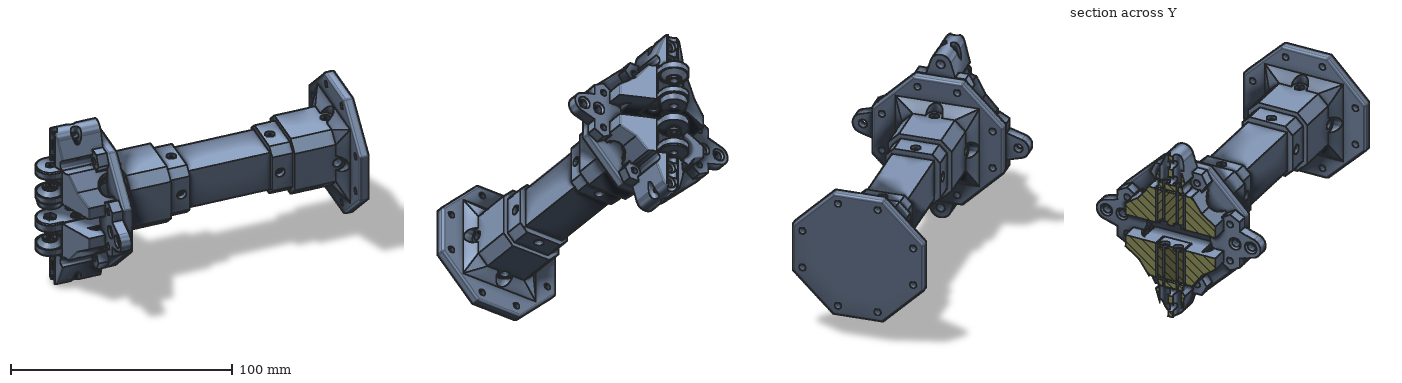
import cadquery as cq
import math


column_length = 120.0
tube_half = 10.0

flange_half = 31.3
flange_flat_half = 11.8
flange_thickness = 5.0
flange_rounding = 1.0

taper_end = 10.0
taper_base_half = 20.0
socket_half = 15.1
socket_corner_cut = 5.1
socket_end = 30.0
collar_half = 12.9
collar_corner_cut = 3.7
collar_end = 40.0

screw_diameter = 4.5
screw_seat_diameter = 7.8
flange_screw_y = 9.1
collar_screw_y = 36.0

bolt_near = 9.5
bolt_far = 26.3
bolt_diameter = 3.1

plate_thickness = 5.1
boss_tip_near = 14.5
boss_foot_far = 22.6
boss_foot_near = 12.0
wing_notch = 16.2
wing_notch_near = 11.2
wing_notch_inner = (9.6, 25.5)
bolt_head_diameter = 6.6
channel_half = 5.2
opening_half = 16.3

ridge_y = -21.7
ridge_half = 3.1
wing_edge_y = -13.2
wing_half = bolt_far - bolt_head_diameter / 2
rim_rounding = 0.6
wing_back_stock = 15.0

ear_tip = 41.97
ear_tip_radius = 5.0
ear_taper = math.radians(17)
ear_hole_far = 37.0
ear_hole_near = 28.9
ear_hole_diameter = 4.0
ear_sink_diameter = 6.0
groove_radius = 2.2

slot_half = 7.3
slot_end = 23.6
slot_floor_y = -6.0

pin_x = 3.5
pin_y = -11.7
pin_diameter = 2.5
pin_seat_diameter = 4.8
pin_seat_end = 27.0
pin_recess_diameter = 4.5
pin_recess_depth = 1.5

passage_diameter = 7.8
passage_chamfer = 0.7
passage_sink_diameter = 11.4
passage_sink_depth = 1.0
passage_inner = cq.Vector(13.3, -5.7, channel_half)
passage_outer = cq.Vector(wing_notch, 0, wing_notch)

knuckle_radius = 6.7
knuckle_y = knuckle_radius - 29.6
knuckle_chamfer = 0.6
upper_bore_diameter = 4.0
lower_bore_diameter = 3.5
cone_base_radius = 6.1
cone_end_radius = 3.5
cone_height = 2.0
cone_tip_radius = 3.0
cone_tip_height = 3.0
web_radius = 7.3
outer_knuckle_start = 19.2
insert_end = 22.9
upper_start = 5.5
upper_knuckle_end = 9.0
upper_boss_start = 2.4
upper_boss_base_radius = 6.5
upper_boss_end_radius = 5.7
lower_start = channel_half
lower_knuckle_end = 9.5
nut_width = 5.2
nut_depth = 2.2
lower_neck_end = 10.9
lower_neck_radius = 2.1
lower_collar_end = 12.1

signs = (-1, 1)
pin_places = [(sx * pin_x, pin_y) for sx in signs]
bolt_places = [
    (sx * a, sz * b)
    for a, b in ((bolt_near, bolt_far), (bolt_far, bolt_near))
    for sx in signs
    for sz in signs
]


def facing_front(y):
    """Sketch plane at the given y; extruding goes toward -Y."""
    return cq.Workplane("XZ", origin=(0, y, 0))


def facing_back(y):
    """Sketch plane at the given y; extruding goes toward +Y, and local y is -Z."""
    return cq.Workplane(cq.Plane(origin=(0, y, 0), xDir=(1, 0, 0), normal=(0, 1, 0)))


def frustum(half_start, half_end, y_start, y_end):
    return (
        facing_back(y_start)
        .rect(2 * half_start, 2 * half_start)
        .workplane(offset=y_end - y_start)
        .rect(2 * half_end, 2 * half_end)
        .loft(combine=True)
    )


def cut_corner_bar(half, corner_cut, y_start, y_end):
    bar = facing_back(y_start).rect(2 * half, 2 * half).extrude(y_end - y_start)
    return bar.edges("|Y").chamfer(corner_cut)


def four_fold(shape):
    """Copies turned about Y by quarter turns."""
    return [shape.rotate((0, 0, 0), (0, 1, 0), 90 * i) for i in range(4)]


def make_tube():
    length = column_length - 2 * flange_thickness
    return facing_back(flange_thickness).rect(2 * tube_half, 2 * tube_half).extrude(length)


def make_socket():
    flange = cut_corner_bar(flange_half, flange_half - flange_flat_half, 0, flange_thickness)
    flange = flange.edges().fillet(flange_rounding)

    corner_start = taper_base_half * math.sqrt(2)
    corner_end = (2 * socket_half - socket_corner_cut) / math.sqrt(2)
    sides = frustum(taper_base_half, socket_half, flange_thickness, taper_end)
    corners = frustum(corner_start, corner_end, flange_thickness, taper_end)
    taper = sides.intersect(corners.rotate((0, 0, 0), (0, 1, 0), 45))

    body = flange.union(taper)
    body = body.union(cut_corner_bar(socket_half, socket_corner_cut, taper_end, socket_end))
    body = body.union(cut_corner_bar(collar_half, collar_corner_cut, socket_end, collar_end))

    pocket_length = collar_end - flange_thickness
    body = body.cut(facing_back(flange_thickness).rect(2 * tube_half, 2 * tube_half).extrude(pocket_length))

    screws = (
        cq.Workplane("XY", origin=(0, 0, tube_half))
        .pushPoints([(0, flange_screw_y), (0, collar_screw_y)])
        .circle(screw_diameter / 2)
        .extrude(taper_base_half)
    )
    seat = (
        cq.Workplane("XY", origin=(0, flange_screw_y, socket_half))
        .circle(screw_seat_diameter / 2)
        .extrude(taper_base_half)
    )
    for cutter in four_fold(screws.union(seat)):
        body = body.cut(cutter)

    bolts = facing_back(0).pushPoints(bolt_places).circle(bolt_diameter / 2)
    return body.cut(bolts.extrude(flange_thickness))


def make_ear(depth):
    """Ear along +X: tapered sides that run tangent into the round tip."""
    tip_center = ear_tip - ear_tip_radius
    touch_x = tip_center + ear_tip_radius * math.sin(ear_taper)
    touch_z = ear_tip_radius * math.cos(ear_taper)
    root_x = channel_half
    root_half = touch_z + (touch_x - root_x) * math.tan(ear_taper)
    return (
        facing_front(0)
        .moveTo(root_x, -root_half)
        .lineTo(touch_x, -touch_z)
        .threePointArc((ear_tip, 0), (touch_x, touch_z))
        .lineTo(root_x, root_half)
        .close()
        .extrude(depth)
    )


def mirrored_outline(quarter):
    """Closed outline from the points of the quarter with x and z positive, listed from X to Z."""
    upper = quarter + [(-x, z) for x, z in reversed(quarter)]
    return upper + [(x, -z) for x, z in reversed(upper)]


def make_plate():
    outline = mirrored_outline([
        (flange_half, flange_flat_half),
        (bolt_far, boss_tip_near),
        (boss_foot_far, boss_foot_near),
        (boss_foot_near, boss_foot_near),
        (boss_foot_near, boss_foot_far),
        (boss_tip_near, bolt_far),
        (flange_flat_half, flange_half),
    ])
    plate = facing_front(0).polyline(outline).close().extrude(plate_thickness)
    ear = make_ear(plate_thickness)
    return plate.union(ear).union(ear.mirror("YZ"))


def make_channel():
    """Gap between the claws, across the whole width."""
    return cq.Workplane("XY").box(2 * ear_tip, 4 * ear_tip, 2 * channel_half)


def make_wing_blank():
    """Upper and lower wings, left long at the back so that the passages break out cleanly."""
    outline = mirrored_outline([
        (wing_half, wing_notch_near),
        (wing_notch, wing_notch),
        wing_notch_inner,
    ])
    depth = wing_back_stock - ridge_y
    return facing_front(wing_back_stock).polyline(outline).close().extrude(depth).cut(make_channel())


def four_corners(shape):
    """Copies mirrored left to right and above to below."""
    pair = [shape, shape.mirror("YZ")]
    return pair + [side.mirror("XY") for side in pair]


def make_passages():
    """Slanted holes from the notches of the wings to the channel."""
    axis = passage_outer - passage_inner
    return four_corners(cq.Workplane(cq.Solid.makeCylinder(
        passage_diameter / 2, 2 * axis.Length, passage_inner - axis * 0.3, axis.normalized()
    )))


def make_passage_sinks():
    """Widened mouths of the passages, square to the notches."""
    outward = cq.Vector(1, 0, 1).normalized()
    mouth_radius = passage_sink_diameter / 2
    floor = cq.Workplane(cq.Solid.makeCone(
        mouth_radius - passage_sink_depth,
        mouth_radius,
        passage_sink_depth,
        passage_outer - outward * passage_sink_depth,
        outward,
    ))
    mouth = cq.Workplane(cq.Solid.makeCylinder(mouth_radius, wing_notch, passage_outer, outward))
    return four_corners(floor.union(mouth))


def is_channel_mouth(edge):
    return math.isclose(abs(edge.Center().z), channel_half, abs_tol=0.01)


def make_roof():
    """Space below a flat ridge and two slopes that fall away to the sides."""
    return (
        cq.Workplane("XY", origin=(0, 0, -ear_tip))
        .polyline([
            (wing_half, 0),
            (wing_half, wing_edge_y),
            (ridge_half, ridge_y),
            (-ridge_half, ridge_y),
            (-wing_half, wing_edge_y),
            (-wing_half, 0),
        ])
        .close()
        .extrude(2 * ear_tip)
    )


def is_roof(face):
    return face.normalAt().y < -0.5 and face.Center().y < wing_edge_y


def is_outer_rim(edge):
    """False for the ridges, for the edges along the channel and for wing edges inside the ears."""
    center = edge.Center()
    on_ridge = math.isclose(abs(center.x), ridge_half, abs_tol=0.01)
    on_channel = math.isclose(abs(center.z), channel_half, abs_tol=0.01)
    inside_ear = math.isclose(abs(center.z), wing_notch_inner[1], abs_tol=0.01)
    return not (on_ridge or on_channel or inside_ear)


def under_roof(shape):
    """Trims a shape to the roof and rounds the edge all round it."""
    trimmed = shape.intersect(make_roof())
    return trimmed.faces().filter(is_roof).edges().filter(is_outer_rim).fillet(rim_rounding)


def make_claws():
    """Wings with their ears."""
    wings = under_roof(make_wing_blank())
    for passage in make_passages():
        wings = wings.cut(passage)
    wings = wings.edges("%ELLIPSE").filter(is_channel_mouth).chamfer(passage_chamfer)
    for sink in make_passage_sinks():
        wings = wings.cut(sink)

    depth = -ridge_y
    upper_ear = under_roof(make_ear(depth).rotate((0, 0, 0), (0, 1, 0), -90))
    claws = wings.union(upper_ear).union(upper_ear.mirror("XY"))

    bolt_heads = (
        facing_front(-plate_thickness)
        .pushPoints([place for place in bolt_places if abs(place[1]) == bolt_far])
        .circle(bolt_head_diameter / 2)
        .extrude(depth)
    )
    return claws.cut(bolt_heads)


def ear_hole(face_y):
    """Countersunk hole along Y, open in front of the face at face_y."""
    sink_depth = (ear_sink_diameter - ear_hole_diameter) / 2
    return (
        cq.Workplane("XY")
        .polyline([
            (0, 0),
            (ear_hole_diameter / 2, 0),
            (ear_hole_diameter / 2, face_y + sink_depth),
            (ear_sink_diameter / 2, face_y),
            (ear_sink_diameter / 2, 2 * ridge_y),
            (0, 2 * ridge_y),
        ])
        .close()
        .revolve(360, (0, 0, 0), (0, 1, 0))
    )


def make_mount():
    plate = make_plate().cut(make_wing_blank())
    for passage in make_passages():
        plate = plate.cut(passage)
    mount = plate.union(make_claws())
    mount = mount.cut(cq.Workplane("XY").box(2 * opening_half, 3 * plate_thickness, 2 * channel_half))

    slot_height = slot_end - channel_half
    for sz in signs:
        slot = cq.Workplane("XY").box(2 * slot_half, 2 * ear_tip, slot_height)
        mount = mount.cut(slot.translate((0, slot_floor_y - ear_tip, sz * (channel_half + slot_height / 2))))

        groove = cq.Workplane("XY", origin=(0, ridge_y, sz * slot_end)).circle(groove_radius)
        mount = mount.cut(groove.extrude(sz * ear_tip))

        pins = cq.Workplane("XY").pushPoints(pin_places)
        mount = mount.cut(pins.circle(pin_diameter / 2).extrude(sz * ear_tip))
        seats = cq.Workplane("XY", origin=(0, 0, sz * pin_seat_end)).pushPoints(pin_places)
        mount = mount.cut(seats.circle(pin_seat_diameter / 2).extrude(sz * ear_tip))

    mount = mount.cut(facing_front(0).pushPoints(bolt_places).circle(bolt_diameter / 2).extrude(plate_thickness))

    for place in (ear_hole_far, ear_hole_near):
        for turn in range(4):
            hole = ear_hole(-plate_thickness if turn % 2 == 0 else ridge_y + groove_radius)
            hole = hole.translate((place, 0, 0)).rotate((0, 0, 0), (0, 1, 0), 90 * turn)
            mount = mount.cut(hole)
    return mount


def disc(radius, z_start, z_end):
    return cq.Workplane("XY", origin=(0, knuckle_y, z_start)).circle(radius).extrude(z_end - z_start)


def cone(z_base, direction):
    """Bearing cone with a short round tip, pointing along +Z or -Z from z_base."""
    base = cq.Vector(0, knuckle_y, z_base)
    axis = cq.Vector(0, 0, direction)
    flank = cq.Workplane(cq.Solid.makeCone(cone_base_radius, cone_end_radius, cone_height, base, axis))
    tip = cq.Workplane(cq.Solid.makeCylinder(cone_tip_radius, cone_tip_height, base, axis))
    return flank.union(tip)


def knuckle(z_start, z_end, rim):
    """Lug with a round nose, reaching back to the slot floor; rim selects its chamfered face."""
    lug = (
        cq.Workplane("XY", origin=(0, 0, z_start))
        .moveTo(-knuckle_radius, slot_floor_y)
        .lineTo(-knuckle_radius, knuckle_y)
        .threePointArc((0, knuckle_y - knuckle_radius), (knuckle_radius, knuckle_y))
        .lineTo(knuckle_radius, slot_floor_y)
        .close()
        .extrude(z_end - z_start)
    )
    return lug.faces(rim).edges("%CIRCLE").chamfer(knuckle_chamfer)


def finish_insert(inner_knuckle, z_start, bore_diameter):
    """Adds the hollow web, the outer knuckle, the pin holes and the bore."""
    height = insert_end - z_start
    web = cq.Workplane("XY", origin=(0, 0, z_start)).box(
        2 * knuckle_radius, slot_floor_y - knuckle_y, height, centered=(True, False, False)
    )
    web = web.translate((0, knuckle_y, 0)).cut(disc(web_radius, z_start, insert_end))
    outer_knuckle = knuckle(outer_knuckle_start, insert_end, ">Z").union(cone(outer_knuckle_start, -1))
    body = inner_knuckle.union(web).union(outer_knuckle)

    pins = cq.Workplane("XY", origin=(0, 0, z_start)).pushPoints(pin_places)
    body = body.cut(pins.circle(pin_diameter / 2).extrude(height))
    body = body.cut(pins.circle(pin_recess_diameter / 2).extrude(pin_recess_depth))
    return body.cut(disc(bore_diameter / 2, 0, insert_end))


def make_upper_insert():
    boss = cq.Workplane(cq.Solid.makeCone(
        upper_boss_end_radius, upper_boss_base_radius, upper_start - upper_boss_start,
        cq.Vector(0, knuckle_y, upper_boss_start),
    ))
    inner = knuckle(upper_start, upper_knuckle_end, "<Z").union(boss).union(cone(upper_knuckle_end, 1))
    return finish_insert(inner, upper_start, upper_bore_diameter)


def make_lower_insert():
    """Built upright like the upper insert, then mirrored below the channel."""
    inner = knuckle(lower_start, lower_knuckle_end, "<Z")
    inner = inner.union(disc(lower_neck_radius, lower_knuckle_end, lower_neck_end))
    inner = inner.union(disc(cone_tip_radius, lower_neck_end, lower_collar_end))
    body = finish_insert(inner, lower_start, lower_bore_diameter)

    nut_corner_diameter = nut_width / math.cos(math.pi / 6)
    nut = cq.Workplane("XY").polygon(6, nut_corner_diameter).extrude(nut_depth)
    nut = nut.rotate((0, 0, 0), (0, 0, 1), 90).translate((0, knuckle_y, lower_start))
    return body.cut(nut).mirror("XY")


tube = make_tube()
front_socket = make_socket()
rear_socket = front_socket.mirror("XZ").translate((0, column_length, 0))
mount = make_mount()
upper_insert = make_upper_insert()
lower_insert = make_lower_insert()

result = cq.Compound.makeCompound([
    tube.val(), front_socket.val(), rear_socket.val(), mount.val(), upper_insert.val(), lower_insert.val()
])